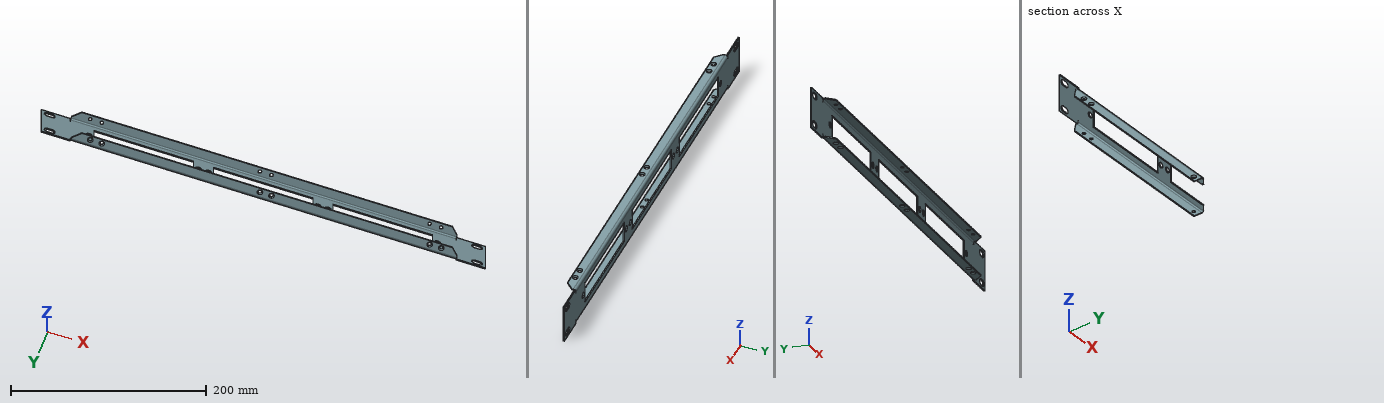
import cadquery as cq

panel_length = 482.5
panel_height = 44.0
depth = 12.5
thickness = 1.5
inner_bend_radius = 1.5
outer_bend_radius = inner_bend_radius + thickness

flange_length = 419.0
flange_taper_length = 8.0
flange_taper_start = 4.5

relief_width = 0.25
relief_depth = 4.5

slot_length = 11.5
slot_height = 6.8
slot_spacing_x = 464.5
slot_spacing_z = 32.0

window_count = 3
window_pitch = 130.0
window_width = 108.0
window_height = 24.5
screw_hole_diameter = 6.5
screw_hole_spacing = 118.5

pair_count = 3
pair_pitch = 184.5
pair_spacing = 12.5
flange_hole_diameter = 3.5
countersink_diameter = 6.0
countersink_depth = (countersink_diameter - flange_hole_diameter) / 2
flange_hole_edge_distance = 4.5


def centred_positions(count, pitch):
    """Evenly spaced positions, symmetric about zero."""
    return [(i - (count - 1) / 2) * pitch for i in range(count)]


def box_behind(length, box_depth, height, rear_y=0.0):
    """Box centred in X and Z that reaches from rear_y toward -Y."""
    return cq.Workplane("XY").box(length, box_depth, height).translate((0, rear_y - box_depth / 2, 0))


def end_plates():
    """Flat ends of the panel, on both sides of the folded length."""
    plate = box_behind(panel_length, thickness, panel_height)
    return plate.cut(box_behind(flange_length, thickness, panel_height))


def folded_channel():
    """U-shaped sheet with rounded bends along the flange length."""
    outer = box_behind(flange_length, depth, panel_height)
    outer = outer.edges("|X and >Y").fillet(outer_bend_radius)
    inner = box_behind(flange_length, depth, panel_height - 2 * thickness, -thickness)
    inner = inner.edges("|X and >Y").fillet(inner_bend_radius)
    return outer.cut(inner)


def flange_outline():
    """Prism that trims the free corners of both flanges to a taper."""
    root_x = flange_length / 2
    tip_x = root_x - flange_taper_length
    corners = [
        (-root_x, 0),
        (root_x, 0),
        (root_x, -flange_taper_start),
        (tip_x, -depth),
        (-tip_x, -depth),
        (-root_x, -flange_taper_start),
    ]
    return cq.Workplane("XY").polyline(corners).close().extrude(panel_height / 2, both=True)


def windows():
    return (
        cq.Workplane("XZ")
        .rarray(window_pitch, 5, window_count, 1)
        .rect(window_width, window_height)
        .extrude(thickness)
    )


def screw_holes():
    centres = [
        (window_x + offset, 0)
        for window_x in centred_positions(window_count, window_pitch)
        for offset in centred_positions(2, screw_hole_spacing)
    ]
    return cq.Workplane("XZ").pushPoints(centres).circle(screw_hole_diameter / 2).extrude(thickness)


def mounting_slots():
    return (
        cq.Workplane("XZ")
        .rarray(slot_spacing_x, slot_spacing_z, 2, 2)
        .slot2D(slot_length, slot_height)
        .extrude(thickness)
    )


def relief_notches():
    """Cuts from the long edges into the plate, just outside the flange ends."""
    return (
        cq.Workplane("XZ")
        .rarray(flange_length + relief_width, panel_height, 2, 2)
        .rect(relief_width, 2 * relief_depth)
        .extrude(thickness)
    )


def flange_holes():
    """Countersunk holes through the upper and lower flange."""
    hole_y = -depth + flange_hole_edge_distance
    centres = [
        (pair_x + offset, hole_y)
        for pair_x in centred_positions(pair_count, pair_pitch)
        for offset in centred_positions(2, pair_spacing)
    ]
    holes = (
        cq.Workplane("XY")
        .pushPoints(centres)
        .circle(flange_hole_diameter / 2)
        .extrude(panel_height / 2, both=True)
    )
    upper_countersinks = (
        cq.Workplane("XY")
        .workplane(offset=panel_height / 2)
        .pushPoints(centres)
        .circle(countersink_diameter / 2)
        .extrude(-countersink_depth, taper=45)
    )
    lower_countersinks = upper_countersinks.mirror("XY")
    return holes.union(upper_countersinks).union(lower_countersinks)


result = (
    end_plates()
    .union(folded_channel().intersect(flange_outline()))
    .cut(relief_notches())
    .cut(windows())
    .cut(screw_holes())
    .cut(mounting_slots())
    .cut(flange_holes())
)